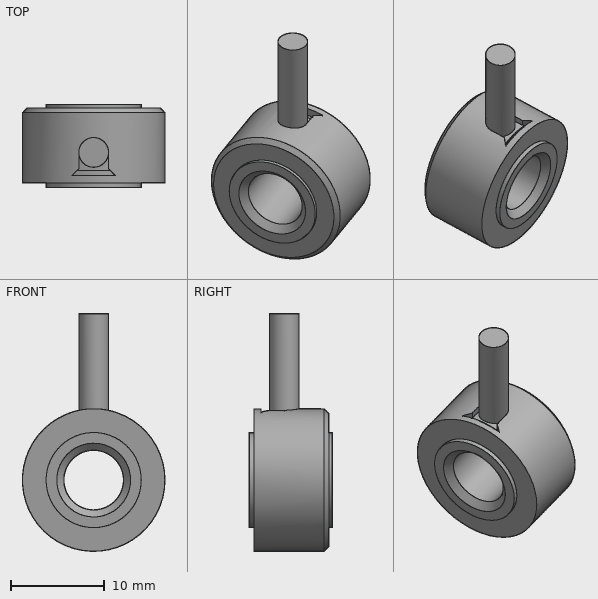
import cadquery as cq

ring_diameter = 15.25
hub_diameter = 10.15
bore_diameter = 6.35
total_width = 8.9
front_hub_height = 0.5
back_hub_height = 0.38
rim_chamfer = 0.5
bore_chamfer = 0.75

pin_diameter = 3.18
pin_center_y = 3.75
pin_top_z = 17.78

notch_front_y = 1.27
notch_flare_width = 4.67
notch_floor_diameter = 13.82
groove_floor_diameter = 13.45
groove_width = 0.55

ring_radius = ring_diameter / 2
ring_front_y = front_hub_height
ring_back_y = total_width - back_hub_height


def cylinder_along_y(diameter, start_y, end_y):
    """Solid cylinder on the ring axis between two Y positions."""
    plane = cq.Workplane("XZ", origin=(0, start_y, 0))
    return plane.circle(diameter / 2).extrude(start_y - end_y)


def make_ring():
    """Ring with a chamfered back rim and a raised hub on both faces."""
    ring = cylinder_along_y(ring_diameter, ring_front_y, ring_back_y)
    ring = ring.faces(">Y").chamfer(rim_chamfer)
    return ring.union(cylinder_along_y(hub_diameter, 0, total_width))


def make_bore():
    """Through bore with a 45 degree countersink at both ends."""
    bore_radius = bore_diameter / 2
    mouth_radius = bore_radius + bore_chamfer
    profile = (
        cq.Workplane("XY")
        .moveTo(0, 0)
        .lineTo(mouth_radius, 0)
        .lineTo(bore_radius, bore_chamfer)
        .lineTo(bore_radius, total_width - bore_chamfer)
        .lineTo(mouth_radius, total_width)
        .lineTo(0, total_width)
        .close()
    )
    return profile.revolve(360, (0, 0, 0), (0, 1, 0))


def make_notch():
    """Notch as wide as the pin, flared at 45 degrees, with a deeper groove at its front."""
    slot_half = pin_diameter / 2
    flare_half = notch_flare_width / 2
    flare_end_y = notch_front_y + flare_half - slot_half
    outline = (
        cq.Workplane("XY")
        .moveTo(-flare_half, notch_front_y)
        .lineTo(flare_half, notch_front_y)
        .lineTo(slot_half, flare_end_y)
        .lineTo(slot_half, pin_center_y)
        .lineTo(-slot_half, pin_center_y)
        .lineTo(-slot_half, flare_end_y)
        .close()
        .extrude(ring_radius)
    )
    groove_end_y = notch_front_y + groove_width
    groove_core = cylinder_along_y(groove_floor_diameter, ring_front_y, groove_end_y)
    floor_core = cylinder_along_y(notch_floor_diameter, groove_end_y, ring_back_y)
    return outline.cut(groove_core).cut(floor_core)


def make_pin():
    """Pin rising from inside the ring wall, clear of the bore."""
    pin_bottom_z = hub_diameter / 2
    base = cq.Workplane("XY", origin=(0, pin_center_y, pin_bottom_z))
    return base.circle(pin_diameter / 2).extrude(pin_top_z - pin_bottom_z)


result = make_ring().cut(make_bore()).cut(make_notch()).union(make_pin())